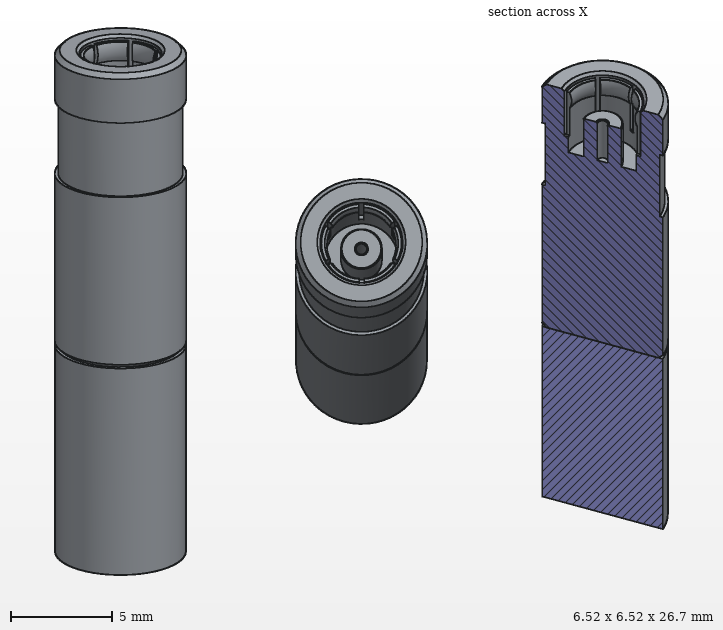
import cadquery as cq

total_length = 26.66
body_radius = 3.26

sleeve_length = 11.0
sleeve_radius = 3.25

base_chamfer_height = 0.21
base_chamfer_depth = 0.22
neck_radius = 3.09
neck_bottom = 20.12
neck_length = 3.96
rim_chamfer = 0.25

entry_chamfer = 0.15
entry_radius = 2.04
finger_face_depth = 0.25
finger_bore_radius = 1.82
bump_height = 0.11
bump_top_depth = 0.28
bump_bottom_depth = 1.27
socket_depth = 4.0

finger_outer_radius = 1.98
slot_count = 6
slot_width = 0.24
slot_depth = 3.0
first_slot_angle = 30.0

contact_radius = 1.02
contact_chamfer = 0.05
contact_top_depth = 1.55
contact_hole_radius = 0.27
contact_hole_chamfer = 0.06
contact_countersink_angle = 90
contact_hole_depth = socket_depth - contact_top_depth


def make_sleeve():
    """Plain cylinder behind the connector."""
    return cq.Workplane("XY").circle(sleeve_radius).extrude(sleeve_length)


def connector_outside():
    """Turned outer shape: tapered base, necked grip and chamfered rim."""
    neck_top = neck_bottom + neck_length
    return (
        cq.Workplane("XZ")
        .moveTo(0, sleeve_length)
        .lineTo(body_radius - base_chamfer_depth, sleeve_length)
        .lineTo(body_radius, sleeve_length + base_chamfer_height)
        .lineTo(body_radius, neck_bottom)
        .lineTo(neck_radius, neck_bottom)
        .lineTo(neck_radius, neck_top)
        .lineTo(body_radius, neck_top)
        .lineTo(body_radius, total_length - rim_chamfer)
        .lineTo(body_radius - rim_chamfer, total_length)
        .lineTo(0, total_length)
        .close()
        .revolve(360, (0, 0, 0), (0, 1, 0))
    )


def socket_cavity():
    """Turned cavity: chamfered entry, finger face, rounded inward bump and straight bore."""
    finger_face = total_length - finger_face_depth
    bump_top = total_length - bump_top_depth
    bump_bottom = total_length - bump_bottom_depth
    bump_crest = (finger_bore_radius - bump_height, (bump_top + bump_bottom) / 2)
    floor = total_length - socket_depth
    return (
        cq.Workplane("XZ")
        .moveTo(0, total_length)
        .lineTo(entry_radius + entry_chamfer, total_length)
        .lineTo(entry_radius, total_length - entry_chamfer)
        .lineTo(entry_radius, finger_face)
        .lineTo(finger_bore_radius, finger_face)
        .lineTo(finger_bore_radius, bump_top)
        .threePointArc(bump_crest, (finger_bore_radius, bump_bottom))
        .lineTo(finger_bore_radius, floor)
        .lineTo(0, floor)
        .close()
        .revolve(360, (0, 0, 0), (0, 1, 0))
    )


def finger_gap():
    """Narrow annular gap around the outside of the fingers."""
    return (
        cq.Workplane("XY")
        .workplane(offset=total_length - slot_depth)
        .circle(entry_radius)
        .circle(finger_outer_radius)
        .extrude(slot_depth)
    )


def finger_slots():
    """Radial slots down between the fingers, reaching out to the entry radius."""
    slot_floor = total_length - slot_depth
    blades = cq.Workplane("XY")
    for index in range(slot_count):
        angle = first_slot_angle + index * 360 / slot_count
        blade = (
            cq.Workplane("XY")
            .workplane(offset=slot_floor)
            .center(entry_radius / 2, 0)
            .rect(entry_radius, slot_width)
            .extrude(slot_depth)
            .rotate((0, 0, 0), (0, 0, 1), angle)
        )
        blades = blades.add(blade)
    limit = cq.Workplane("XY").workplane(offset=slot_floor).circle(entry_radius).extrude(slot_depth)
    return limit.intersect(blades.combine())


def centre_contact():
    """Round contact standing on the socket floor, with a chamfered hole down its middle."""
    contact_height = socket_depth - contact_top_depth
    return (
        cq.Workplane("XY")
        .workplane(offset=total_length - socket_depth)
        .circle(contact_radius)
        .extrude(contact_height)
        .faces(">Z")
        .chamfer(contact_chamfer)
        .faces(">Z")
        .workplane()
        .cskHole(
            2 * contact_hole_radius,
            2 * (contact_hole_radius + contact_hole_chamfer),
            contact_countersink_angle,
            contact_hole_depth,
        )
    )


def make_connector():
    """Connector body with its fingered socket and centre contact."""
    hollow = connector_outside().cut(socket_cavity()).cut(finger_gap()).cut(finger_slots())
    return hollow.union(centre_contact())


sleeve = make_sleeve()
connector = make_connector()

result = cq.Compound.makeCompound([sleeve.val(), *connector.vals()])